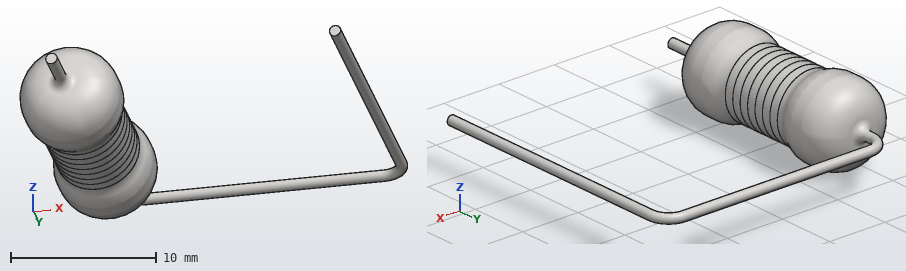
import cadquery as cq
import math


body_length = 16.5
cap_diameter = 7.0
waist_diameter = 5.95
waist_length = 5.5
flare_length = 2.0
cap_edge_radius = 2.4

band_diameter = 5.97
band_count = 4
gap_count = band_count - 1

wire_diameter = 0.8
lead_pitch = 20.0
bend_radius = 1.6
bend_centre_y = 9.25
lead_end_y = -11.85

body_half = body_length / 2
cap_radius = cap_diameter / 2
waist_radius = waist_diameter / 2
waist_half = waist_length / 2
wire_radius = wire_diameter / 2
flare_end = waist_half + flare_length
cap_edge_start = body_half - cap_edge_radius
face_radius = cap_radius - cap_edge_radius
lead_fillet_radius = face_radius - wire_radius
collar_end = body_half + lead_fillet_radius
band_width = waist_length / (band_count + gap_count)
crossbar_y = bend_centre_y + bend_radius
diagonal = math.sqrt(0.5)


def make_end_cap():
    """The +Y end of the body, from the waist to the lead collar, revolved about Y."""
    arc_rise = (cap_radius - waist_radius) / 2
    arc_run = flare_length / 2
    arc_radius = (arc_run**2 + arc_rise**2) / (2 * arc_rise)
    half_angle = math.asin(arc_run / arc_radius) / 2
    half_rise = arc_radius * (1 - math.cos(half_angle))
    half_run = arc_radius * math.sin(half_angle)
    concave_mid = (waist_radius + half_rise, waist_half + half_run)
    convex_mid = (cap_radius - half_rise, flare_end - half_run)
    flare_mid = (waist_radius + arc_rise, waist_half + arc_run)

    fillet_offset = lead_fillet_radius * (1 - diagonal)
    cap_edge_mid = (
        face_radius + cap_edge_radius * diagonal,
        cap_edge_start + cap_edge_radius * diagonal,
    )
    collar_mid = (wire_radius + fillet_offset, body_half + fillet_offset)
    return (
        cq.Workplane("XY")
        .moveTo(0, waist_half)
        .lineTo(waist_radius, waist_half)
        .threePointArc(concave_mid, flare_mid)
        .threePointArc(convex_mid, (cap_radius, flare_end))
        .lineTo(cap_radius, cap_edge_start)
        .threePointArc(cap_edge_mid, (face_radius, body_half))
        .threePointArc(collar_mid, (wire_radius, collar_end))
        .lineTo(0, collar_end)
        .close()
        .revolve(360, (0, 0, 0), (0, 1, 0))
    )


def make_cylinder(diameter, start_y, length):
    """Cylinder on the Y axis, running from start_y towards +Y."""
    return (
        cq.Workplane("XZ", origin=(0, start_y, 0))
        .circle(diameter / 2)
        .extrude(-length)
    )


def make_bands():
    """Evenly spaced colour bands, with gaps as wide as the bands."""
    bands = []
    for index in range(band_count):
        start_y = -waist_half + 2 * index * band_width
        bands.append(make_cylinder(band_diameter, start_y, band_width))
    return bands


def make_bent_lead():
    """Wire leaving the +Y collar, crossing over in X and returning towards -Y."""
    bend_offset = bend_radius * (1 - diagonal)
    bend_mid_y = crossbar_y - bend_offset
    path = (
        cq.Workplane("XY")
        .moveTo(0, collar_end)
        .lineTo(0, bend_centre_y)
        .threePointArc((bend_offset, bend_mid_y), (bend_radius, crossbar_y))
        .lineTo(lead_pitch - bend_radius, crossbar_y)
        .threePointArc((lead_pitch - bend_offset, bend_mid_y), (lead_pitch, bend_centre_y))
        .lineTo(lead_pitch, lead_end_y)
    )
    return cq.Workplane("XZ", origin=(0, collar_end, 0)).circle(wire_radius).sweep(path)


end_cap = make_end_cap()
waist = make_cylinder(waist_diameter, -waist_half, waist_length)
result = waist.union(end_cap).union(end_cap.mirror("XZ"))
for band in make_bands():
    result = result.union(band)

straight_lead = make_cylinder(wire_diameter, lead_end_y, -collar_end - lead_end_y)
result = result.union(straight_lead).union(make_bent_lead())